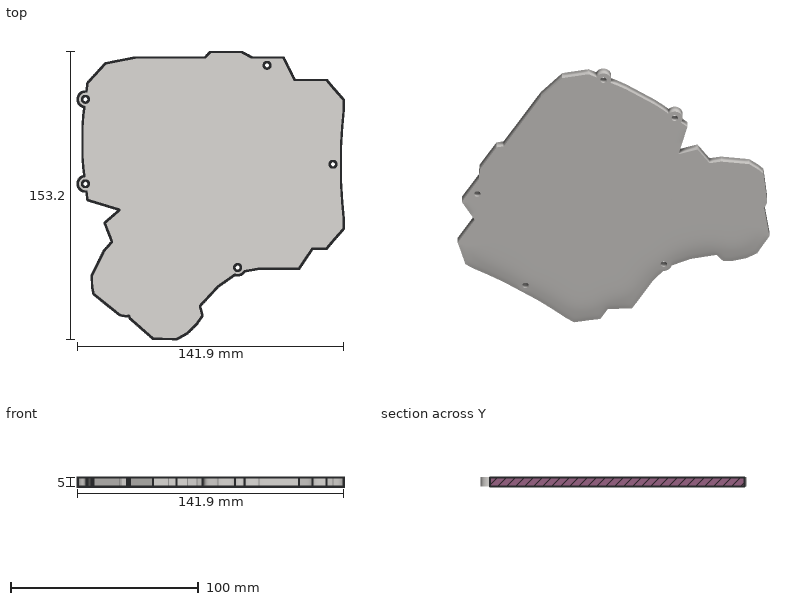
import cadquery as cq

length_x = 141.9
length_y = 153.16
thickness = 5.0

x_max = length_x / 2
y_max = length_y / 2

hole_diameter = 3.4
lug_wall = 2.5
lug_radius = hole_diameter / 2 + lug_wall

left_mid_y = 28.8
right_mid_y = 16.7

left_lug_x = -x_max + lug_radius
left_lug_pitch = 45.0
left_corner = (-65.7, 31.2)
left_outer_bend = (-67.9, 14.3)
left_inner_bend = (-68.35, 8.8)

right_chamfer_start = (61.7, 45.0)
right_chamfer_bend = (65.2, 40.8)
right_corner = (x_max, 34.3)
right_outer_bend = (x_max, 29.5)
right_middle_bend = (70.05, 19.6)
right_inner_bend = (69.5, 10.5)

top_edge_y = 73.7
bottom_edge_y = -39.0

top_hole = (30.0, 69.4)
right_hole = (65.1, right_mid_y)
bottom_hole = (14.3, -38.3)
left_holes = [(left_lug_x, left_mid_y + side * left_lug_pitch / 2) for side in (1, -1)]


def mirrored_side(upper_half, mid_y):
    """Points down a side, from its (X, distance from mid_y) pairs listed top to middle."""
    upper = [(x, mid_y + offset) for x, offset in upper_half]
    lower = [(x, mid_y - offset) for x, offset in reversed(upper_half)]
    return upper + lower


def right_side():
    """Right side, from top to bottom."""
    bends = [
        right_chamfer_start,
        right_chamfer_bend,
        right_corner,
        right_outer_bend,
        right_middle_bend,
        right_inner_bend,
    ]
    return mirrored_side(bends, right_mid_y)


def left_side():
    """Left side, from bottom to top."""
    bends = [left_corner, left_outer_bend, left_inner_bend]
    return mirrored_side(bends, left_mid_y)[::-1]


def top_side():
    """Top side, from left to right: sloped shoulder, raised tab and step down."""
    step_y = right_mid_y + right_chamfer_start[1]
    shoulder = [(-56.1, 70.5), (-39.9, top_edge_y)]
    raised_tab = [(-3.0, top_edge_y), (-0.3, y_max), (16.5, y_max), (21.8, top_edge_y)]
    step_down = [(38.7, top_edge_y), (44.7, step_y)]
    return shoulder + raised_tab + step_down


def bottom_right_side():
    """Bottom edge of the main plate, from the right chamfer to the neck of the lobe."""
    step_y = right_mid_y - right_chamfer_start[1]
    step_down = [(54.2, step_y), (47.0, bottom_edge_y)]
    neck = [(25.6, bottom_edge_y), (18.4, -40.3), (12.7, -42.3), (3.9, -48.5), (-5.7, -58.8)]
    return step_down + neck


def lower_lobe():
    """Lobe below the plate, clockwise from its neck to the notch in the left side."""
    right_flank = [(-4.3, -63.9), (-7.4, -68.4), (-12.5, -73.4)]
    tip = [(-18.2, -y_max), (-22.4, -76.4), (-30.7, -76.3)]
    small_nick = [(-43.1, -65.4), (-43.6, -64.0), (-44.6, -64.4), (-47.7, -63.9), (-48.7, -63.5)]
    left_flank = [(-62.5, -52.4), (-63.2, -48.7), (-63.5, -42.7), (-56.9, -29.3)]
    notch = [(-52.75, -24.7), (-53.0, -23.7), (-56.6, -14.5), (-48.6, -7.6)]
    return right_flank + tip + small_nick + left_flank + notch


def plate():
    outline = top_side() + right_side() + bottom_right_side() + lower_lobe() + left_side()
    return cq.Workplane("XY").polyline(outline).close().extrude(thickness)


def lugs():
    return cq.Workplane("XY").pushPoints(left_holes + [bottom_hole]).circle(lug_radius).extrude(thickness)


def screw_holes():
    centers = left_holes + [top_hole, right_hole, bottom_hole]
    return cq.Workplane("XY").pushPoints(centers).circle(hole_diameter / 2).extrude(thickness)


result = plate().union(lugs()).cut(screw_holes())